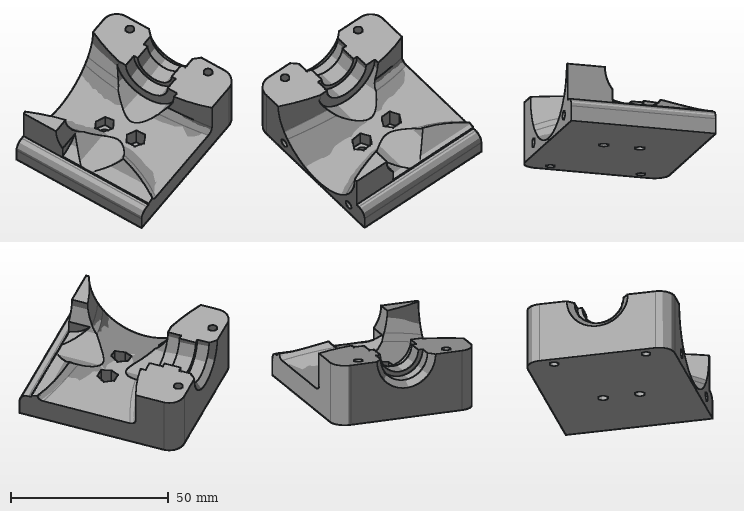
import cadquery as cq
import math

width = 48.0
length = 54.0
height = 20.0
rear_corner_radius = 5.0

ledge_depth = 4.0
ledge_height = 8.0
ledge_radius = 3.0

cavity_y = 24.0
cavity_radius = 19.0
corner_start_angle = 32.0
corner_end_angle = 40.4
waist_x = 14.05
waist_y = 23.15
waist_half_width = 13.55
waist_side_depth = 7.3
waist_side_bow = 0.3
waist_corner_inset = 2.55
waist_corner_depth = 9.35
waist_corner_bulge = 0.3
waist_depth = 11.55
end_y = 22.8
end_half_width = 16.75
end_depth = 12.4
end_corner_radius = 2.0
straight_tolerance = 2.92e-07

bore_radius = 11.55
bore_end_y = 38.0
seat_radius = 8.0
collar_radius = 6.5
collar_front_y = 42.5
collar_rear_y = 48.0
flare_length = 2.0

relief_y = 2.05
relief_start_x = -9.0

pin_diameter = 2.8
pin_depth = 10.0
pin_height = 4.0
pin_spacing = 32.0
rear_hole_spacing = 30.0
rear_hole_inset = 3.5
bolt_diameter = 3.2
bolt_spacing = 12.0
bolt_y = 23.0
nut_flats = 5.7
nut_floor = 2.0


def block():
    body = cq.Workplane("XY").box(width, length, height, centered=(True, False, False))
    body = body.edges("|Z and >Y").fillet(rear_corner_radius)
    step = cq.Workplane("XY").workplane(offset=ledge_height).box(
        width, ledge_depth, height - ledge_height, centered=(True, False, False)
    )
    body = body.cut(step)
    front_edge = cq.selectors.NearestToPointSelector((0, 0, ledge_height))
    return body.edges(front_edge).fillet(ledge_radius)


def cavity_section(x, center_y, nodes, middles):
    """Symmetric section; nodes and middles are (half width, depth) going down one side.

    The last node ends the corner; the floor arc passes through the last middle point.
    """

    def at(side, point):
        return cq.Vector(x, center_y + side * point[0], height - point[1])

    rim, corner_start, corner_end = nodes
    side_middle, corner_middle, floor_middle = middles
    arcs = [
        (at(1, rim), at(1, side_middle), at(1, corner_start)),
        (at(1, corner_start), at(1, corner_middle), at(1, corner_end)),
        (at(1, corner_end), at(1, floor_middle), at(-1, corner_end)),
        (at(-1, corner_end), at(-1, corner_middle), at(-1, corner_start)),
        (at(-1, corner_start), at(-1, side_middle), at(-1, rim)),
    ]
    edges = []
    for start, middle, end in arcs:
        bend = (middle - start).cross(end - middle).Length
        if bend < straight_tolerance:
            edges.append(cq.Edge.makeLine(start, end))
        else:
            edges.append(cq.Edge.makeThreePointArc(start, middle, end))
    edges.append(cq.Edge.makeLine(at(-1, rim), at(1, rim)))
    return cq.Wire.assembleEdges(edges)


def round_section():
    def on_circle(angle):
        turn = math.radians(angle)
        return (cavity_radius * math.cos(turn), cavity_radius * math.sin(turn))

    nodes = [on_circle(0), on_circle(corner_start_angle), on_circle(corner_end_angle)]
    middles = [
        on_circle(corner_start_angle / 2),
        on_circle((corner_start_angle + corner_end_angle) / 2),
        on_circle(90),
    ]
    return cavity_section(-width / 2, cavity_y, nodes, middles)


def waist_section():
    corner_end_half = waist_half_width - waist_corner_inset
    nodes = [
        (waist_half_width, 0),
        (waist_half_width - waist_side_bow, waist_side_depth),
        (corner_end_half, waist_corner_depth),
    ]
    middles = [
        (waist_half_width, waist_side_depth / 2),
        (
            (nodes[1][0] + corner_end_half) / 2 + waist_corner_bulge,
            (waist_side_depth + waist_corner_depth) / 2 + waist_corner_bulge,
        ),
        (0, waist_depth),
    ]
    return cavity_section(waist_x, waist_y, nodes, middles)


def end_section():
    side_depth = end_depth - end_corner_radius
    floor_half = end_half_width - end_corner_radius
    diagonal = end_corner_radius * math.sqrt(0.5)
    nodes = [(end_half_width, 0), (end_half_width, side_depth), (floor_half, end_depth)]
    middles = [
        (end_half_width, side_depth / 2),
        (floor_half + diagonal, side_depth + diagonal),
        (0, end_depth),
    ]
    return cavity_section(width / 2, end_y, nodes, middles)


def main_cavity():
    return cq.Solid.makeLoft([round_section(), waist_section(), end_section()])


def shaft_passage():
    flare_radius = seat_radius + flare_length
    profile = [
        (0, 0),
        (bore_radius, 0),
        (bore_radius, bore_end_y),
        (seat_radius, bore_end_y),
        (seat_radius, collar_front_y),
        (collar_radius, collar_front_y),
        (collar_radius, collar_rear_y),
        (seat_radius, collar_rear_y),
        (seat_radius, length - flare_length),
        (flare_radius, length),
        (0, length),
    ]
    passage = cq.Workplane("XY").polyline(profile).close().revolve(360, (0, 0, 0), (0, 1, 0))
    return passage.translate((0, 0, height))


def front_relief():
    relief = cq.Workplane("YZ", origin=(relief_start_x, 0, 0)).center(relief_y, height)
    return relief.circle(bore_radius).extrude(width / 2 - relief_start_x)


def side_pin_holes():
    holes = cq.Workplane("YZ", origin=(-width / 2, cavity_y, pin_height))
    holes = holes.pushPoints([(-pin_spacing / 2, 0), (pin_spacing / 2, 0)])
    return holes.circle(pin_diameter / 2).extrude(pin_depth)


def rear_holes():
    holes = cq.Workplane("XY", origin=(0, length - rear_hole_inset, 0))
    holes = holes.pushPoints([(-rear_hole_spacing / 2, 0), (rear_hole_spacing / 2, 0)])
    return holes.circle(pin_diameter / 2).extrude(height)


def bolt_holes_with_nut_pockets():
    centers = [(-bolt_spacing / 2, 0), (bolt_spacing / 2, 0)]
    plane = cq.Workplane("XY", origin=(0, bolt_y, 0))
    shanks = plane.pushPoints(centers).circle(bolt_diameter / 2).extrude(height)
    nut_corners = nut_flats / math.cos(math.pi / 6)
    nuts = plane.workplane(offset=nut_floor).pushPoints(centers)
    nuts = nuts.polygon(6, nut_corners).extrude(height - nut_floor)
    return shanks.union(nuts)


result = (
    block()
    .cut(cq.Workplane(main_cavity()))
    .cut(shaft_passage())
    .cut(front_relief())
    .cut(side_pin_holes())
    .cut(rear_holes())
    .cut(bolt_holes_with_nut_pockets())
)